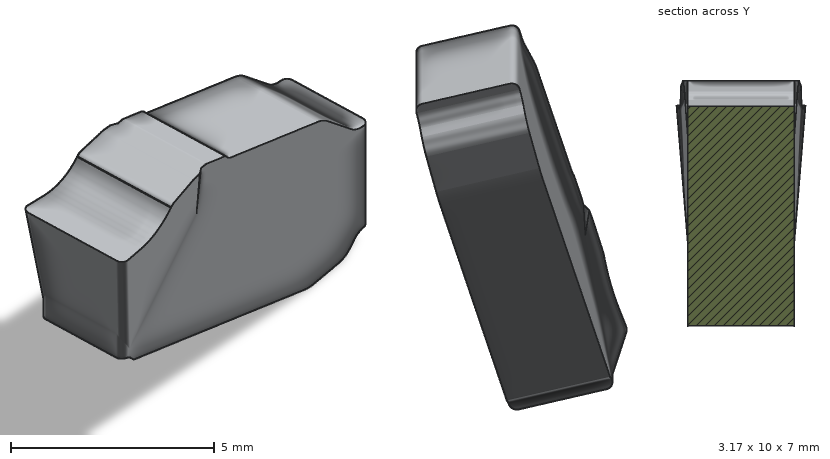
import math

import cadquery as cq

length = 10.0
height = 7.0
body_width = 2.62

edge_height = 6.4
clearance_angle = 7.0
heel_height = 3.55
toe_height = 2.755
rake_angle = 5.5
rake_run = 1.53
chip_breaker_radius = 1.5
rim_y = 2.09
rim_radius = 0.3
land_angle = 10.0

crest_front_y = 2.98
crest_rear_y = 3.615
crest_radius = 0.2
slope_angle = 20.0
slope_radius = 1.0

step_foot_radius = 0.3
top_step_y = 4.394
top_step_depth = 0.12
top_step_angle = 57.0
top_step_head_radius = 0.2
bottom_step_y = 0.78
bottom_step_height = 2.5
bottom_step_angle = 52.0
bottom_step_knee_radius = 0.1

tail_bottom = 0.5
tail_top = 3.87
tail_top_corner_y = 9.545
tail_top_radius = 0.8
tail_bottom_corner_y = 9.58
tail_bottom_radius = 0.5
belly_radius = 0.65

flare_slope = 0.073
crease_corner_y = 3.24
crease_corner_z = 5.625
flare_rear_lean = 0.13

vertical_edge_radius = 0.2
trim_allowance = 1.0


def tan(degrees):
    return math.tan(math.radians(degrees))


heel_y = (edge_height - heel_height) * tan(clearance_angle)


def profile_corners():
    """Sharp corners of the YZ outline as (y, z, rounding radius)."""
    bottom_riser = (toe_height - bottom_step_height) / tan(bottom_step_angle)
    belly_y = bottom_step_y + bottom_step_height / tan(slope_angle)

    slope = tan(slope_angle)
    step_head_z = height - (top_step_y - crest_rear_y) * slope
    step_run = top_step_depth / (tan(top_step_angle) - slope)
    step_foot_y = top_step_y + step_run
    step_foot_z = step_head_z - step_run * tan(top_step_angle)

    ramp_sum = tail_top_corner_y + tail_top
    shoulder_y = (ramp_sum - step_foot_z - step_foot_y * slope) / (1 - slope)
    shoulder_z = ramp_sum - shoulder_y

    return [
        (0, edge_height, 0),
        (heel_y, heel_height, 0),
        (heel_y, toe_height, 0),
        (bottom_step_y - bottom_riser, toe_height, step_foot_radius),
        (bottom_step_y, bottom_step_height, bottom_step_knee_radius),
        (belly_y, 0, slope_radius),
        (tail_bottom_corner_y - tail_bottom, 0, belly_radius),
        (tail_bottom_corner_y, tail_bottom, tail_bottom_radius),
        (length, tail_bottom, 0),
        (length, tail_top, 0),
        (tail_top_corner_y, tail_top, tail_top_radius),
        (shoulder_y, shoulder_z, slope_radius),
        (step_foot_y, step_foot_z, step_foot_radius),
        (top_step_y, step_head_z, top_step_head_radius),
        (crest_rear_y, height, crest_radius),
        (crest_front_y, height, crest_radius),
        (rim_y, height - (crest_front_y - rim_y) * tan(land_angle), rim_radius),
        (rake_run, edge_height - rake_run * tan(rake_angle), chip_breaker_radius),
    ]


def rounded_outline(corners):
    """Closed YZ outline with a tangent arc at every corner that has a radius."""
    start_y, start_z, _ = corners[0]
    outline = cq.Workplane("YZ").moveTo(start_y, start_z)
    for index in range(1, len(corners)):
        y, z, radius = corners[index]
        if radius == 0:
            outline = outline.lineTo(y, z)
            continue
        before = corners[index - 1]
        after = corners[(index + 1) % len(corners)]
        corner = cq.Vector(y, z)
        to_before = (cq.Vector(before[0], before[1]) - corner).normalized()
        to_after = (cq.Vector(after[0], after[1]) - corner).normalized()
        half_angle = to_before.getAngle(to_after) / 2
        tangent_length = radius / math.tan(half_angle)
        middle_distance = radius / math.sin(half_angle) - radius
        arc_start = corner + to_before * tangent_length
        arc_middle = corner + (to_before + to_after).normalized() * middle_distance
        arc_end = corner + to_after * tangent_length
        outline = outline.lineTo(arc_start.x, arc_start.y)
        outline = outline.threePointArc((arc_middle.x, arc_middle.y), (arc_end.x, arc_end.y))
    return outline.close()


def polyhedron(faces):
    """Solid bounded by flat faces, each given as a list of points."""
    flat_faces = []
    for points in faces:
        wire = cq.Wire.makePolygon([cq.Vector(*point) for point in points], close=True)
        flat_faces.append(cq.Face.makeFromWires(wire))
    return cq.Workplane(cq.Solid.makeSolid(cq.Shell.makeShell(flat_faces)))


def mirrored(point):
    return (-point[0], point[1], point[2])


def nose_envelope():
    """Flared nose with rounded front side edges, reaching above the outline."""
    half_width = body_width / 2
    top_z = height + trim_allowance
    rise = top_z - crease_corner_z
    lean = tan(clearance_angle)

    crease_fall = crease_corner_z - crease_corner_y
    crease_front_y = (edge_height - crease_fall) * lean / (1 + lean)
    front_top_y = (edge_height - top_z) * lean
    front_flare = flare_slope * (rise + crease_corner_y - front_top_y)

    low = (half_width, crease_front_y, crease_fall + crease_front_y)
    corner = (half_width, crease_corner_y, crease_corner_z)
    rear = (half_width, crease_corner_y + rise * flare_rear_lean, top_z)
    flank_rear = (half_width + flare_slope * rise, crease_corner_y, top_z)
    flank_front = (half_width + front_flare, front_top_y, top_z)

    flank = [low, corner, flank_rear, flank_front]
    flank_end = [corner, rear, flank_rear]
    top_side = [rear, flank_rear, flank_front]
    faces = [flank, flank_end]
    faces += [[mirrored(point) for point in face] for face in (flank, flank_end)]
    faces.append(top_side + [mirrored(point) for point in reversed(top_side)])
    for edge in ([flank_front, low], [low, corner], [corner, rear]):
        faces.append(edge + [mirrored(point) for point in reversed(edge)])

    nose = polyhedron(faces)
    front_side_edges = nose.faces("<Y").edges("not |X")
    return front_side_edges.fillet(vertical_edge_radius)


def body_envelope():
    """Straight body from the upright front to the rear end, with rounded upright edges."""
    body = cq.Workplane("XY").box(body_width, length - heel_y, height, centered=(True, False, False))
    body = body.translate((0, heel_y, 0))
    return body.edges("|Z").fillet(vertical_edge_radius)


def build_insert():
    blank = rounded_outline(profile_corners()).extrude(2 * body_width, both=True)
    envelope = body_envelope().union(nose_envelope())
    return blank.intersect(envelope)


result = build_insert()